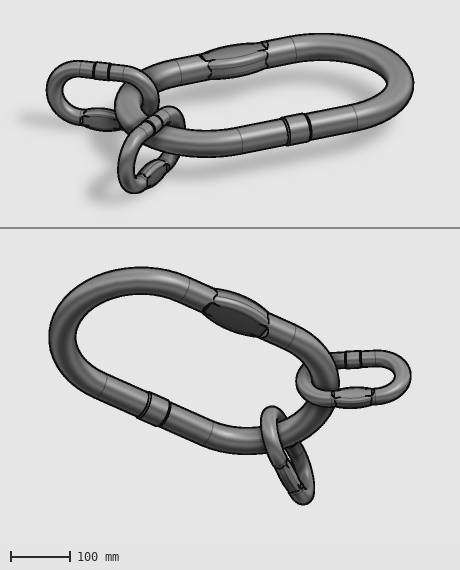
import cadquery as cq
import math

MASTER_BAR = 45.0
MASTER_INNER_WIDTH = 220.0
MASTER_STRAIGHT = 210.0
MASTER_SLEEVE_DIAMETER = 48.5
MASTER_SLEEVE_LENGTH = 43.0
MASTER_SLEEVE_RAMP = 3.5
MASTER_TAG_LENGTH = 111.0
MASTER_TAG_WIDTH = 62.5
MASTER_TAG_END_WIDTH = 40.0
MASTER_TAG_THICKNESS = 36.0
MASTER_TAG_FILLET = 12.0

SMALL_BAR = 27.0
SMALL_INNER_WIDTH = 65.0
SMALL_STRAIGHT = 74.5
SMALL_SLEEVE_DIAMETER = 29.0
SMALL_SLEEVE_LENGTH = 28.0
SMALL_SLEEVE_RAMP = 2.5
SMALL_TAG_LENGTH = 64.0
SMALL_TAG_WIDTH = 37.0
SMALL_TAG_END_WIDTH = 25.0
SMALL_TAG_THICKNESS = 21.0
SMALL_TAG_FILLET = 7.0

TAG_END_SLOPE = 36.0
SMALL_LINK_ANGLE = 36.0
SEAT_GAP = 0.3


def oval_bar(bar, bend_radius, straight):
    """Round bar bent into an oval ring, long direction along Y."""
    half = straight / 2
    path = (
        cq.Workplane("XY")
        .moveTo(bend_radius, -half)
        .lineTo(bend_radius, half)
        .threePointArc((0, half + bend_radius), (-bend_radius, half))
        .lineTo(-bend_radius, -half)
        .threePointArc((0, -half - bend_radius), (bend_radius, -half))
        .close()
    )
    section = cq.Workplane("XZ", origin=(bend_radius, -half, 0)).circle(bar / 2)
    return section.sweep(path)


def weld_sleeve(bar, diameter, length, ramp, arm_x):
    """Raised collar around the middle of the +X arm, ramping up from the bar at both ends."""
    half = length / 2
    crest_half = half - ramp
    return (
        cq.Workplane("XY", origin=(arm_x, 0, 0))
        .moveTo(0, -half)
        .lineTo(bar / 2, -half)
        .lineTo(diameter / 2, -crest_half)
        .lineTo(diameter / 2, crest_half)
        .lineTo(bar / 2, half)
        .lineTo(0, half)
        .close()
        .revolve(360, (0, 0, 0), (0, 1, 0))
    )


def tag_recess(bar, length, thickness, arm_x):
    """Cutter that flattens one face of the -X arm, sloping back up to the bar at both ends."""
    floor = thickness / 2
    top = bar
    half_floor = length / 2
    half_top = half_floor + (top - floor) / math.tan(math.radians(TAG_END_SLOPE))
    return (
        cq.Workplane("YZ", origin=(arm_x, 0, 0))
        .polyline([(-half_floor, floor), (half_floor, floor), (half_top, top), (-half_top, top)])
        .close()
        .extrude(bar / 2, both=True)
    )


def tag_plate(length, width, end_width, thickness, fillet, arm_x):
    """Plate with bowed, rounded long sides, centred on the -X arm."""
    half_length = length / 2
    half_end = end_width / 2
    return (
        cq.Workplane("XY", origin=(arm_x, 0, -thickness / 2))
        .moveTo(half_end, -half_length)
        .threePointArc((width / 2, 0), (half_end, half_length))
        .lineTo(-half_end, half_length)
        .threePointArc((-width / 2, 0), (-half_end, -half_length))
        .close()
        .extrude(thickness)
        .edges("%CIRCLE")
        .fillet(fillet)
    )


def make_link(
    bar, inner_width, straight,
    sleeve_diameter, sleeve_length, sleeve_ramp,
    tag_length, tag_width, tag_end_width, tag_thickness, tag_fillet,
):
    """Complete link in the XY plane: weld sleeve on the +X arm, tag on the -X arm."""
    arm_x = (inner_width + bar) / 2
    recess = tag_recess(bar, tag_length, tag_thickness, -arm_x)
    link = (
        oval_bar(bar, arm_x, straight)
        .cut(recess)
        .cut(recess.mirror("XY"))
        .union(tag_plate(tag_length, tag_width, tag_end_width, tag_thickness, tag_fillet, -arm_x))
        .union(weld_sleeve(bar, sleeve_diameter, sleeve_length, sleeve_ramp, arm_x))
    )
    return link.solids()


def small_link(side):
    """Small link stood on edge (tag down) and swung to one side: +1 is +X, -1 is -X."""
    link = make_link(
        SMALL_BAR, SMALL_INNER_WIDTH, SMALL_STRAIGHT,
        SMALL_SLEEVE_DIAMETER, SMALL_SLEEVE_LENGTH, SMALL_SLEEVE_RAMP,
        SMALL_TAG_LENGTH, SMALL_TAG_WIDTH, SMALL_TAG_END_WIDTH, SMALL_TAG_THICKNESS, SMALL_TAG_FILLET,
    )
    seat_radius = MASTER_INNER_WIDTH / 2 - SEAT_GAP
    centre_radius = seat_radius + (SMALL_STRAIGHT + SMALL_INNER_WIDTH) / 2
    bend_centre = (0, -MASTER_STRAIGHT / 2, 0)
    return (
        link.rotate((0, 0, 0), (0, 1, 0), -90)
        .translate((0, -centre_radius, 0))
        .rotate((0, 0, 0), (0, 0, 1), side * SMALL_LINK_ANGLE)
        .translate(bend_centre)
    )


master_link = make_link(
    MASTER_BAR, MASTER_INNER_WIDTH, MASTER_STRAIGHT,
    MASTER_SLEEVE_DIAMETER, MASTER_SLEEVE_LENGTH, MASTER_SLEEVE_RAMP,
    MASTER_TAG_LENGTH, MASTER_TAG_WIDTH, MASTER_TAG_END_WIDTH, MASTER_TAG_THICKNESS, MASTER_TAG_FILLET,
)

small_links = [small_link(side) for side in (-1, 1)]

result = cq.Compound.makeCompound([master_link.val(), *[link.val() for link in small_links]])